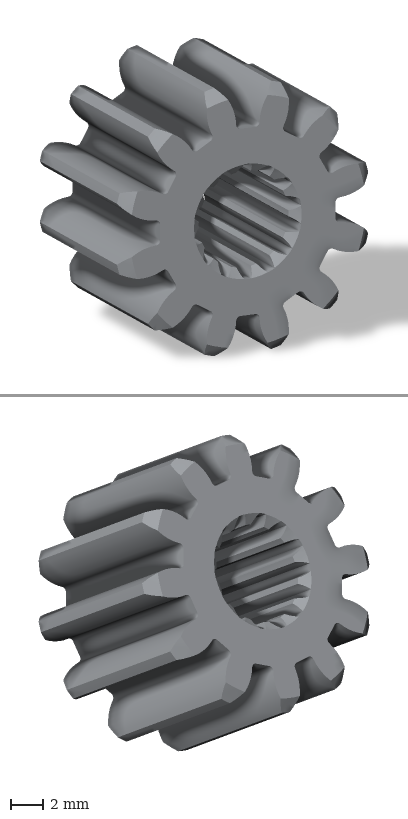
import cadquery as cq
import math

length = 12.7
outer_height = 17.34

tooth_count = 12
tip_half_angle = 2.2
root_apothem = 6.05
flank_start = (6.03, 0.78)
flank_widest = (7.15, 0.94)
root_fillet = 0.3
tip_chamfer = 0.76

spline_count = 14
spline_tip_radius = 3.1
spline_root_radius = 3.73
groove_mouth = (3.02, 0.5)
groove_middle = (3.47, 0.38)
groove_floor_half_width = 0.25
bore_mouth_radius = 3.71

half_length = length / 2
tooth_pitch = 360 / tooth_count
spline_pitch = 360 / spline_count
tip_radius = outer_height / 2 / math.cos(math.radians(tooth_pitch / 2 - tip_half_angle))


def prism(outline):
    """Extrude an outline in the YZ plane over the full length, centred on the origin."""
    return outline.extrude(half_length, both=True)


def turned(body, angle):
    return body.rotate((0, 0, 0), (1, 0, 0), angle)


def make_tooth():
    """One external tooth on +Y, with bulging arc flanks."""
    half_angle = math.radians(tip_half_angle)
    tip_y = tip_radius * math.cos(half_angle)
    tip_z = tip_radius * math.sin(half_angle)
    start_y, start_z = flank_start
    widest_y, widest_z = flank_widest
    outline = (
        cq.Workplane("YZ")
        .moveTo(start_y, -start_z)
        .threePointArc((widest_y, -widest_z), (tip_y, -tip_z))
        .threePointArc((tip_radius, 0), (tip_y, tip_z))
        .threePointArc((widest_y, widest_z), (start_y, start_z))
        .close()
    )
    return prism(outline)


def make_gear():
    """Twelve-sided hub with a tooth on every corner and filleted roots."""
    corner_radius = root_apothem / math.cos(math.radians(tooth_pitch / 2))
    hub = prism(cq.Workplane("YZ").polygon(tooth_count, 2 * corner_radius))
    gear = turned(hub, tooth_pitch / 2)
    tooth = make_tooth()
    for i in range(tooth_count):
        gear = gear.union(turned(tooth, (i + 0.5) * tooth_pitch))

    def at_root(edge):
        center = edge.Center()
        return math.hypot(center.y, center.z) < flank_widest[0]

    return gear.edges("|X").filter(at_root).fillet(root_fillet)


def make_tip_envelope():
    """Cylinder whose 45-degree end chamfers bevel the tooth tips."""
    return prism(cq.Workplane("YZ").circle(tip_radius)).faces("<X or >X").chamfer(tip_chamfer)


def make_spline_groove():
    """One bore groove on +Y, narrowing outwards between two bulging arc flanks."""
    mouth_y, mouth_z = groove_mouth
    middle_y, middle_z = groove_middle
    floor_y = math.sqrt(spline_root_radius**2 - groove_floor_half_width**2)
    floor_z = groove_floor_half_width
    outline = (
        cq.Workplane("YZ")
        .moveTo(mouth_y, -mouth_z)
        .threePointArc((middle_y, -middle_z), (floor_y, -floor_z))
        .threePointArc((spline_root_radius, 0), (floor_y, floor_z))
        .threePointArc((middle_y, middle_z), (mouth_y, mouth_z))
        .close()
    )
    return prism(outline)


def make_bore():
    """Splined bore with a 45-degree lead-in at both ends."""
    bore = prism(cq.Workplane("YZ").circle(spline_tip_radius))
    lead_in = (
        cq.Workplane("YZ", origin=(-half_length, 0, 0))
        .circle(bore_mouth_radius)
        .extrude(bore_mouth_radius - spline_tip_radius, taper=45)
    )
    bore = bore.union(lead_in).union(lead_in.mirror("YZ"))
    groove = make_spline_groove()
    for i in range(spline_count):
        bore = bore.union(turned(groove, (i + 0.5) * spline_pitch))
    return bore


result = make_gear().intersect(make_tip_envelope()).cut(make_bore())